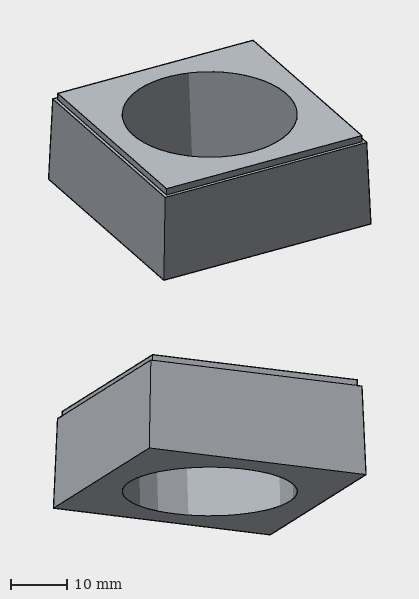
import cadquery as cq

base_side = 42.0
total_height = 17.7

plate_side = 39.6
plate_height = 1.25

shoulder_side = 40.9
body_height = total_height - plate_height

hole_diameter = 31.0


def tapered_body():
    """Square block narrowing evenly from the base up to the shoulder."""
    return (
        cq.Workplane("XY")
        .rect(base_side, base_side)
        .workplane(offset=body_height)
        .rect(shoulder_side, shoulder_side)
        .loft(ruled=True)
    )


def top_plate():
    """Straight-sided plate set in from the shoulder edge."""
    return (
        cq.Workplane("XY")
        .workplane(offset=body_height)
        .rect(plate_side, plate_side)
        .extrude(plate_height)
    )


def through_hole():
    """Vertical cylinder through the full height."""
    return cq.Workplane("XY").circle(hole_diameter / 2).extrude(total_height)


result = tapered_body().union(top_plate()).cut(through_hole())